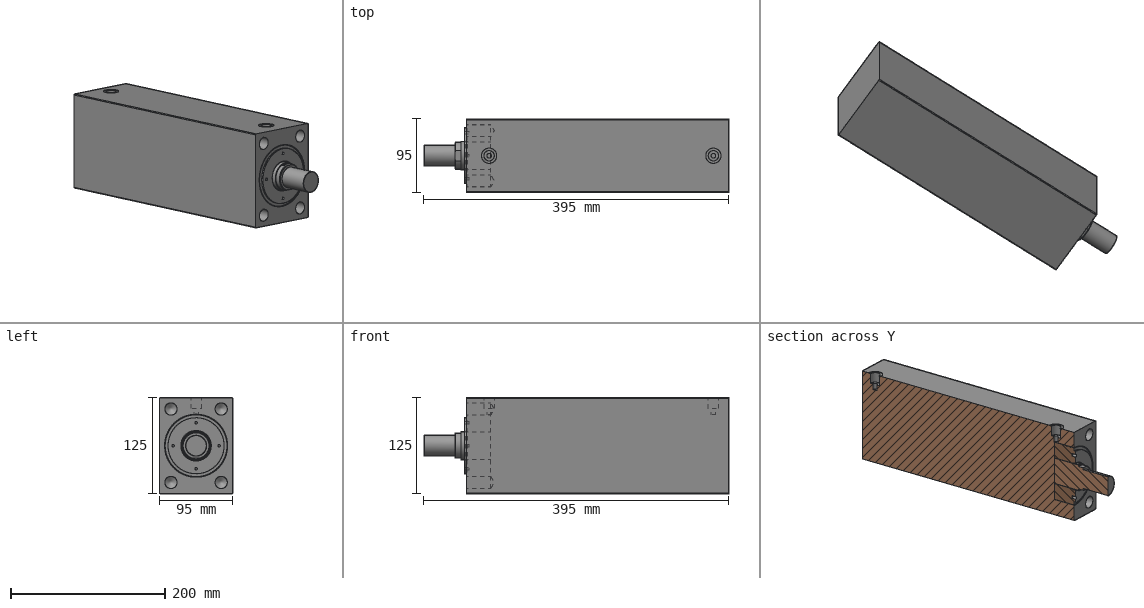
import cadquery as cq
import math


total_length = 395.0
housing_width = 95.0
housing_height = 125.0

stud_diameter = 27.3
stud_length = 40.0
stud_chamfer = 0.5
collar_diameter = 35.0
collar_length = 7.5
collar_chamfer = 0.8
flats_width = 32.5

wiper_diameter = 37.0
wiper_protrusion = 4.7
wiper_seat_depth = 4.0

boss_diameter = 72.5
boss_height = 2.5
gland_diameter = 80.0
gland_depth = 31.5
gland_mouth_chamfer = 0.8
wiper_mouth_chamfer = 1.0
spanner_hole_diameter = 3.0
spanner_hole_depth = 6.0
spanner_circle_diameter = 59.5
spanner_hole_count = 4

edge_chamfer = 1.0
mount_hole_diameter = 15.8
mount_hole_depth = 31.5
mount_spacing_y = 65.0
mount_spacing_z = 95.0
drill_tip_angle = 118.0
port_front_offset = 29.5
port_rear_offset = 20.0
spotface_diameter = 19.8
spotface_depth = 0.5
port_diameter = 13.5
port_depth = 14.0
oilway_diameter = 6.0
oilway_depth = 8.0

boss_front_x = -boss_height
wiper_front_x = boss_front_x - wiper_protrusion
wiper_rear_x = boss_front_x + wiper_seat_depth
collar_front_x = wiper_front_x - collar_length
stud_front_x = collar_front_x - stud_length
housing_length = total_length + stud_front_x


def cylinder_x(diameter, start_x, end_x, y=0, z=0):
    """Solid cylinder parallel to X between two X positions."""
    return (
        cq.Workplane("YZ", origin=(start_x, y, z))
        .circle(diameter / 2)
        .extrude(end_x - start_x)
    )


def mouth_cone_x(bore_diameter, chamfer, face_x):
    """45-degree cone that chamfers the mouth of a bore opening at face_x toward -X."""
    bore_radius = bore_diameter / 2
    cone = cq.Solid.makeCone(
        bore_radius + chamfer, bore_radius, chamfer, cq.Vector(face_x, 0, 0), cq.Vector(1, 0, 0)
    )
    return cq.Workplane(obj=cone)


def mount_hole(y, z):
    """Blind drilled hole in the front face, ending in a drill tip."""
    radius = mount_hole_diameter / 2
    tip_length = radius / math.tan(math.radians(drill_tip_angle / 2))
    tip = cq.Solid.makeCone(
        radius, 0, tip_length, cq.Vector(mount_hole_depth, y, z), cq.Vector(1, 0, 0)
    )
    return cylinder_x(mount_hole_diameter, 0, mount_hole_depth, y, z).union(cq.Workplane(obj=tip))


def port(x):
    """Oil port in the top face: shallow spotface, threaded bore and narrow oilway."""
    top = cq.Workplane("XY", origin=(x, 0, housing_height / 2))
    spotface = top.circle(spotface_diameter / 2).extrude(-spotface_depth)
    bore = top.circle(port_diameter / 2).extrude(-port_depth)
    oilway = top.circle(oilway_diameter / 2).extrude(-port_depth - oilway_depth)
    return spotface.union(bore).union(oilway)


def make_housing():
    """Rectangular cylinder block with the gland seat, mounting holes and oil ports."""
    body = (
        cq.Workplane("XY")
        .box(housing_length, housing_width, housing_height, centered=(False, True, True))
        .edges("|X")
        .chamfer(edge_chamfer)
    )
    body = body.cut(cylinder_x(gland_diameter, 0, gland_depth))
    body = body.cut(mouth_cone_x(gland_diameter, gland_mouth_chamfer, 0))
    for y in (-mount_spacing_y / 2, mount_spacing_y / 2):
        for z in (-mount_spacing_z / 2, mount_spacing_z / 2):
            body = body.cut(mount_hole(y, z))
    for x in (port_front_offset, housing_length - port_rear_offset):
        body = body.cut(port(x))
    return body


def make_gland():
    """Screwed-in gland with a raised boss, a wiper seat and a ring of spanner holes."""
    body = cylinder_x(gland_diameter, 0, gland_depth)
    body = body.union(cylinder_x(boss_diameter, boss_front_x, 0))
    body = body.cut(cylinder_x(collar_diameter, boss_front_x, gland_depth))
    body = body.cut(cylinder_x(wiper_diameter, boss_front_x, wiper_rear_x))
    body = body.cut(mouth_cone_x(wiper_diameter, wiper_mouth_chamfer, boss_front_x))
    spanner_hole_end_x = boss_front_x + spanner_hole_depth
    for index in range(spanner_hole_count):
        angle = 2 * math.pi * index / spanner_hole_count
        y = spanner_circle_diameter / 2 * math.cos(angle)
        z = spanner_circle_diameter / 2 * math.sin(angle)
        body = body.cut(cylinder_x(spanner_hole_diameter, boss_front_x, spanner_hole_end_x, y, z))
    return body


def make_wiper():
    """Wiper ring seated in the gland around the rod."""
    ring = cylinder_x(wiper_diameter, wiper_front_x, wiper_rear_x)
    return ring.cut(cylinder_x(collar_diameter, wiper_front_x, wiper_rear_x))


def make_rod():
    """Piston rod with a chamfered stud end and two wrench flats facing +Z and -Z."""
    rod = cylinder_x(collar_diameter, collar_front_x, gland_depth).faces("<X").chamfer(collar_chamfer)
    flat_depth = (collar_diameter - flats_width) / 2
    for side in (-1, 1):
        center = (collar_front_x + collar_length / 2, 0, side * (flats_width + flat_depth) / 2)
        flat_cutter = cq.Workplane("XY", origin=center).box(collar_length, collar_diameter, flat_depth)
        rod = rod.cut(flat_cutter)
    stud = cylinder_x(stud_diameter, stud_front_x, collar_front_x).faces("<X").chamfer(stud_chamfer)
    return rod.union(stud)


housing = make_housing()
gland = make_gland()
wiper = make_wiper()
rod = make_rod()

result = cq.Compound.makeCompound([housing.val(), gland.val(), wiper.val(), rod.val()])